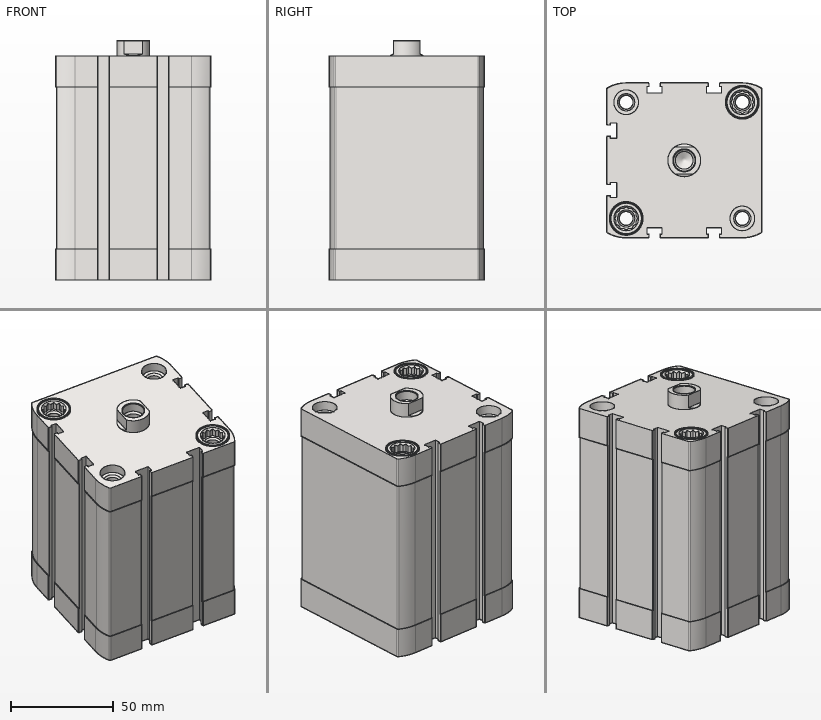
import cadquery as cq
import math

TOTAL_HEIGHT = 116.5
ROD_PROTRUSION = 7.5
CAP_WIDTH = 75.5
CAP_HEIGHT = 15.1
TUBE_INSET = 0.3
HOUSING_HEIGHT = TOTAL_HEIGHT - ROD_PROTRUSION
TUBE_HEIGHT = HOUSING_HEIGHT - 2 * CAP_HEIGHT

HOLE_PITCH = 56.5
HOLE_OFFSET = HOLE_PITCH / 2
CORNER_ARC_RADIUS = 18.6
CORNER_EDGE_FILLET = 0.9

SLOT_PITCH = 28.9
SLOT_MOUTH_WIDTH = 5.4
SLOT_MOUTH_DEPTH = 1.9
SLOT_INNER_WIDTH = 7.2
SLOT_DEPTH = 4.9
SLOT_MOUTH_BEVEL = 0.29

THREAD_DIAMETER = 6.6
THREAD_MOUTH_DIAMETER = 8.4
COUNTERBORE_DIAMETER = 12.0
COUNTERBORE_DEPTH = 4.7

SOCKET_DIAMETER = 11.2
SOCKET_MOUTH_DIAMETER = 12.0
SOCKET_MOUTH_DEPTH = 1.3
HEXAGON_COUNT = 2
HEXAGON_SIDES = 6
GROOVE_OUTER_DIAMETER = 16.4
GROOVE_INNER_DIAMETER = 15.5
GROOVE_DEPTH = 0.7
GROOVE_BEVEL = 0.3

ROD_DIAMETER = 16.0
ROD_FLAT_WIDTH = 13.0
ROD_FLAT_HEIGHT = 6.5
ROD_LEDGE_DROP = 0.8
ROD_LENGTH = ROD_PROTRUSION + CAP_HEIGHT
ROD_MOUTH_DIAMETER = 10.5
ROD_MOUTH_BEVEL = 0.3
ROD_MOUTH_DEPTH = 4.9
ROD_BORE_DIAMETER = 8.6
ROD_BORE_DEPTH = 14.0
DRILL_POINT_ANGLE = 118.0


def corner_column(width, arc_radius, bottom, height):
    """Square prism whose Y faces bow inwards towards the X faces."""
    half = width / 2
    reach = half - HOLE_OFFSET
    drop = arc_radius - math.sqrt(arc_radius**2 - reach**2)
    half_reach = reach / 2
    half_drop = arc_radius - math.sqrt(arc_radius**2 - half_reach**2)
    mid_x = HOLE_OFFSET + half_reach
    mid_y = half - half_drop
    end_y = half - drop
    return (
        cq.Workplane("XY", origin=(0, 0, bottom))
        .moveTo(-HOLE_OFFSET, -half)
        .lineTo(HOLE_OFFSET, -half)
        .threePointArc((mid_x, -mid_y), (half, -end_y))
        .lineTo(half, end_y)
        .threePointArc((mid_x, mid_y), (HOLE_OFFSET, half))
        .lineTo(-HOLE_OFFSET, half)
        .threePointArc((-mid_x, mid_y), (-half, end_y))
        .lineTo(-half, -end_y)
        .threePointArc((-mid_x, -mid_y), (-HOLE_OFFSET, -half))
        .close()
        .extrude(height)
        .edges("|Z and (<X or >X)")
        .fillet(CORNER_EDGE_FILLET)
    )


def t_slot(centre_x, face, bottom, height):
    """T-slot open to +Y, with its mouth edges bevelled where they meet the outer face."""
    half_mouth = SLOT_MOUTH_WIDTH / 2
    half_inner = SLOT_INNER_WIDTH / 2
    floor = CAP_WIDTH / 2 - SLOT_DEPTH
    lip = CAP_WIDTH / 2 - SLOT_MOUTH_DEPTH
    bevel_start = face - SLOT_MOUTH_BEVEL
    half_outline = [
        (half_inner, floor),
        (half_inner, lip),
        (half_mouth, lip),
        (half_mouth, bevel_start),
        (half_mouth + SLOT_MOUTH_BEVEL, face),
    ]
    mirrored = [(-x, y) for x, y in reversed(half_outline)]
    outline = cq.Workplane("XY", origin=(centre_x, 0, bottom)).polyline(half_outline + mirrored)
    return outline.close().extrude(height)


def housing_section(width, arc_radius, bottom, height):
    """Length of slotted profile; the +X face stays plain."""
    section = corner_column(width, arc_radius, bottom, height)
    for centre_x in (-SLOT_PITCH / 2, SLOT_PITCH / 2):
        slot = t_slot(centre_x, width / 2, bottom, height)
        for face_angle in (0, 90, 180):
            section = section.cut(slot.rotate((0, 0, 0), (0, 0, 1), face_angle))
    return section


def cylinder(diameter, bottom, top):
    return cq.Workplane("XY", origin=(0, 0, bottom)).circle(diameter / 2).extrude(top - bottom)


def cone(bottom_diameter, top_diameter, bottom, top):
    return cq.Workplane(
        cq.Solid.makeCone(bottom_diameter / 2, top_diameter / 2, top - bottom, cq.Vector(0, 0, bottom))
    )


def threaded_hole():
    """Through hole with a bevelled mouth at the counterbore floor."""
    mouth_top = HOUSING_HEIGHT - COUNTERBORE_DEPTH
    mouth_bottom = mouth_top - (THREAD_MOUTH_DIAMETER - THREAD_DIAMETER) / 2
    bevel = cone(THREAD_DIAMETER, THREAD_MOUTH_DIAMETER, mouth_bottom, mouth_top)
    return cylinder(THREAD_DIAMETER, 0, mouth_top).union(bevel)


def plain_corner_hole():
    counterbore = cylinder(COUNTERBORE_DIAMETER, HOUSING_HEIGHT - COUNTERBORE_DEPTH, HOUSING_HEIGHT)
    return threaded_hole().union(counterbore)


def rim_groove():
    """Ring groove whose inner rim is bevelled at 45 degrees."""
    groove_bottom = HOUSING_HEIGHT - GROOVE_DEPTH
    bevel_bottom = HOUSING_HEIGHT - GROOVE_BEVEL
    rim_diameter = GROOVE_INNER_DIAMETER - 2 * GROOVE_BEVEL
    core = cylinder(GROOVE_INNER_DIAMETER, groove_bottom, bevel_bottom).union(
        cone(GROOVE_INNER_DIAMETER, rim_diameter, bevel_bottom, HOUSING_HEIGHT)
    )
    return cylinder(GROOVE_OUTER_DIAMETER, groove_bottom, HOUSING_HEIGHT).cut(core)


def splined_corner_hole():
    """Through hole under a twelve-pointed socket with a countersunk mouth and a ring groove."""
    hole = threaded_hole()
    point_spacing = 360 / (HEXAGON_SIDES * HEXAGON_COUNT)
    for turn in range(HEXAGON_COUNT):
        hexagon = (
            cq.Workplane("XY", origin=(0, 0, HOUSING_HEIGHT - COUNTERBORE_DEPTH))
            .polygon(HEXAGON_SIDES, SOCKET_DIAMETER)
            .extrude(COUNTERBORE_DEPTH)
            .rotate((0, 0, 0), (0, 0, 1), turn * point_spacing)
        )
        hole = hole.union(hexagon)
    flat_width = SOCKET_DIAMETER * math.cos(math.pi / HEXAGON_SIDES)
    root_diameter = flat_width / math.cos(math.radians(point_spacing / 2))
    mouth_bottom = HOUSING_HEIGHT - SOCKET_MOUTH_DEPTH
    mouth = cone(root_diameter, SOCKET_MOUTH_DIAMETER, mouth_bottom, HOUSING_HEIGHT)
    return hole.union(mouth).union(rim_groove())


def make_housing():
    tube_width = CAP_WIDTH - 2 * TUBE_INSET
    tube_arc_radius = CORNER_ARC_RADIUS - TUBE_INSET
    housing = housing_section(tube_width, tube_arc_radius, CAP_HEIGHT, TUBE_HEIGHT)
    for cap_bottom in (0, HOUSING_HEIGHT - CAP_HEIGHT):
        housing = housing.union(housing_section(CAP_WIDTH, CORNER_ARC_RADIUS, cap_bottom, CAP_HEIGHT))
    for side in (-1, 1):
        corner = side * HOLE_OFFSET
        housing = housing.cut(splined_corner_hole().translate((corner, corner, 0)))
        housing = housing.cut(plain_corner_hole().translate((corner, -corner, 0)))
    return housing.cut(cylinder(ROD_DIAMETER, TOTAL_HEIGHT - ROD_LENGTH, HOUSING_HEIGHT))


def rod_flat_cut(side):
    """Material outside one wrench flat, down to a ledge that slopes away from the rod."""
    flat_y = ROD_FLAT_WIDTH / 2
    rim_y = ROD_DIAMETER / 2
    ledge_z = TOTAL_HEIGHT - ROD_FLAT_HEIGHT
    return (
        cq.Workplane("YZ")
        .polyline(
            [
                (side * flat_y, TOTAL_HEIGHT),
                (side * flat_y, ledge_z),
                (side * rim_y, ledge_z - ROD_LEDGE_DROP),
                (side * rim_y, TOTAL_HEIGHT),
            ]
        )
        .close()
        .extrude(ROD_DIAMETER / 2, both=True)
    )


def rod_bore():
    """Blind bore with a wider bevelled mouth, a 45 degree step and a drill point."""
    bevel_bottom = TOTAL_HEIGHT - ROD_MOUTH_BEVEL
    rim_diameter = ROD_MOUTH_DIAMETER + 2 * ROD_MOUTH_BEVEL
    mouth_bottom = TOTAL_HEIGHT - ROD_MOUTH_DEPTH
    step_bottom = mouth_bottom - (ROD_MOUTH_DIAMETER - ROD_BORE_DIAMETER) / 2
    bore_bottom = TOTAL_HEIGHT - ROD_BORE_DEPTH
    point_height = ROD_BORE_DIAMETER / 2 / math.tan(math.radians(DRILL_POINT_ANGLE / 2))
    return (
        cylinder(ROD_MOUTH_DIAMETER, mouth_bottom, TOTAL_HEIGHT)
        .union(cone(ROD_MOUTH_DIAMETER, rim_diameter, bevel_bottom, TOTAL_HEIGHT))
        .union(cone(ROD_BORE_DIAMETER, ROD_MOUTH_DIAMETER, step_bottom, mouth_bottom))
        .union(cylinder(ROD_BORE_DIAMETER, bore_bottom, step_bottom))
        .union(cone(0, ROD_BORE_DIAMETER, bore_bottom - point_height, bore_bottom))
    )


def make_piston_rod():
    rod = cylinder(ROD_DIAMETER, TOTAL_HEIGHT - ROD_LENGTH, TOTAL_HEIGHT)
    for side in (-1, 1):
        rod = rod.cut(rod_flat_cut(side))
    return rod.cut(rod_bore())


housing = make_housing()
piston_rod = make_piston_rod()

result = cq.Compound.makeCompound([housing.val(), piston_rod.val()])